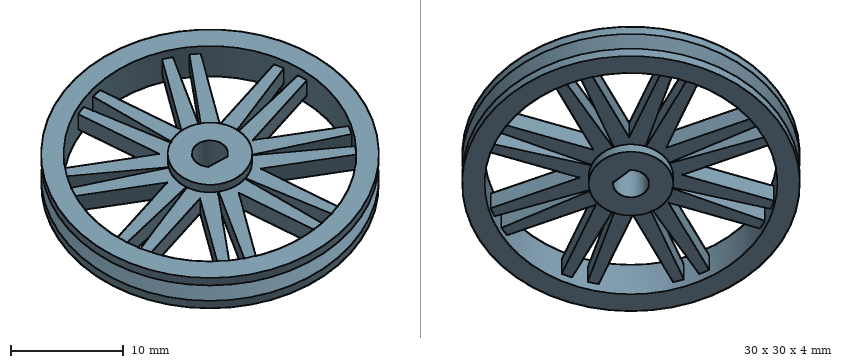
import cadquery as cq
import math

RIM_RADIUS = 15.0
RIM_INNER_RADIUS = 13.0
WIDTH = 4.0
GROOVE_DEPTH = 1.0
FLANGE_WIDTH = 1.0

HUB_RADIUS = 3.75
BORE_RADIUS = 1.6
FLAT_DISTANCE = 1.2
FLAT_ANGLE = -20.0

SPOKE_COUNT = 8
SPOKE_WIDTH = 3.5
SPOKE_THICKNESS = 2.0
SLOT_APEX_RADIUS = 3.3
SLOT_OUTER_WIDTH = 1.5

RIM_OVERLAP = 0.5


def turn(shape, angle):
    """Rotate a shape about the wheel's axis."""
    return shape.rotate((0, 0, 0), (0, 0, 1), angle)


def make_rim():
    profile = (
        cq.Workplane("XZ")
        .moveTo(RIM_INNER_RADIUS, 0)
        .lineTo(RIM_RADIUS, 0)
        .lineTo(RIM_RADIUS, FLANGE_WIDTH)
        .lineTo(RIM_RADIUS - GROOVE_DEPTH, WIDTH / 2)
        .lineTo(RIM_RADIUS, WIDTH - FLANGE_WIDTH)
        .lineTo(RIM_RADIUS, WIDTH)
        .lineTo(RIM_INNER_RADIUS, WIDTH)
        .close()
    )
    return profile.revolve(360, (0, 0, 0), (0, 1, 0))


def make_spokes():
    spoke_base = (WIDTH - SPOKE_THICKNESS) / 2
    spoke_end = RIM_INNER_RADIUS + RIM_OVERLAP
    plane = cq.Workplane("XY").workplane(offset=spoke_base)
    arm = plane.center(spoke_end / 2, 0).rect(spoke_end, SPOKE_WIDTH).extrude(SPOKE_THICKNESS)

    widening = SLOT_OUTER_WIDTH / (RIM_INNER_RADIUS - SLOT_APEX_RADIUS)
    slot_half_width = widening * (spoke_end - SLOT_APEX_RADIUS) / 2
    slot = (
        plane.moveTo(SLOT_APEX_RADIUS, 0)
        .lineTo(spoke_end, -slot_half_width)
        .lineTo(spoke_end, slot_half_width)
        .close()
        .extrude(SPOKE_THICKNESS)
    )

    angles = [index * 360 / SPOKE_COUNT for index in range(SPOKE_COUNT)]
    spokes = arm
    for angle in angles[1:]:
        spokes = spokes.union(turn(arm, angle))
    for angle in angles:
        spokes = spokes.cut(turn(slot, angle))
    return spokes


def make_bore():
    chord_half_length = math.sqrt(BORE_RADIUS**2 - FLAT_DISTANCE**2)
    bore = (
        cq.Workplane("XY")
        .moveTo(FLAT_DISTANCE, chord_half_length)
        .threePointArc((-BORE_RADIUS, 0), (FLAT_DISTANCE, -chord_half_length))
        .close()
        .extrude(WIDTH)
    )
    return turn(bore, FLAT_ANGLE)


hub = cq.Workplane("XY").circle(HUB_RADIUS).extrude(WIDTH)
result = make_rim().union(make_spokes()).union(hub).cut(make_bore())